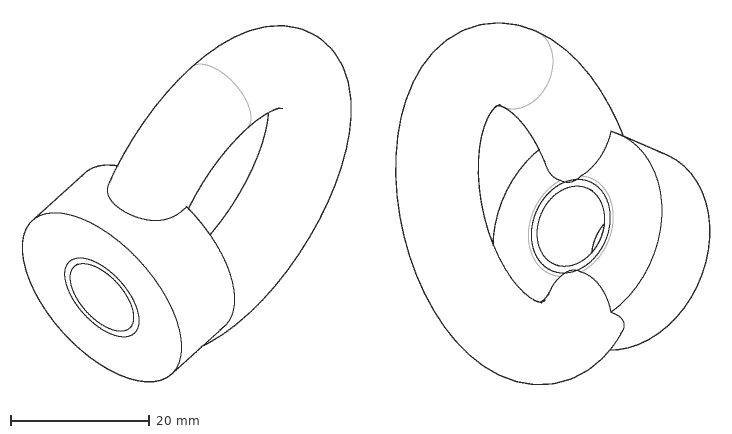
import cadquery as cq

ring_outer_diameter = 53.0
bar_diameter = 12.0
ring_center_radius = (ring_outer_diameter - bar_diameter) / 2

boss_diameter = 30.0
boss_straight_length = 12.0
boss_cone_height = 1.65
boss_cone_top_diameter = 15.05
boss_length = boss_straight_length + boss_cone_height
boss_face_y = -ring_outer_diameter / 2

sleeve_outer_diameter = 14.0
sleeve_bore_diameter = 12.0


def make_cylinder(diameter, length):
    """Cylinder running in +Y from the flat face of the boss."""
    return cq.Workplane("XZ", origin=(0, boss_face_y, 0)).circle(diameter / 2).extrude(-length)


def make_ring():
    """Full torus around the X axis."""
    torus = cq.Solid.makeTorus(
        ring_center_radius, bar_diameter / 2, cq.Vector(0, 0, 0), cq.Vector(1, 0, 0)
    )
    return cq.Workplane(obj=torus)


def make_boss():
    """Cylinder with a shallow cone on the side facing the ring opening."""
    cone_start_y = boss_face_y + boss_straight_length
    boss_end_y = boss_face_y + boss_length
    half_profile = [
        (0, boss_face_y),
        (boss_diameter / 2, boss_face_y),
        (boss_diameter / 2, cone_start_y),
        (boss_cone_top_diameter / 2, boss_end_y),
        (0, boss_end_y),
    ]
    return cq.Workplane("XY").polyline(half_profile).close().revolve(360, (0, 0, 0), (0, 1, 0))


def make_eye():
    """Ring and boss in one piece, bored through to take the sleeve."""
    return make_ring().union(make_boss()).cut(make_cylinder(sleeve_outer_diameter, boss_length))


def make_sleeve():
    """Plain tube as long as the boss."""
    outside = make_cylinder(sleeve_outer_diameter, boss_length)
    return outside.cut(make_cylinder(sleeve_bore_diameter, boss_length))


eye = make_eye()
sleeve = make_sleeve()

result = cq.Compound.makeCompound([eye.solids().val(), sleeve.solids().val()])